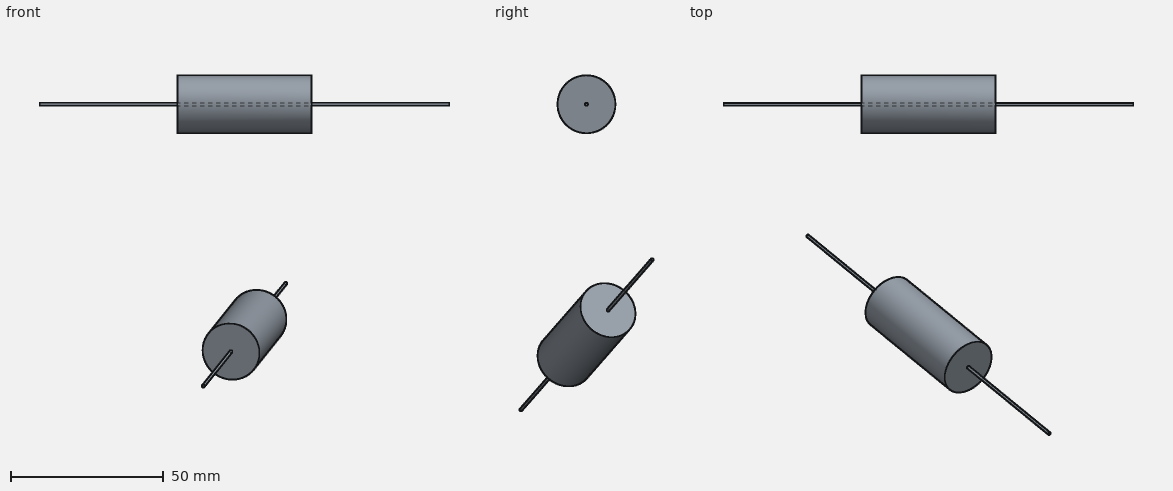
import cadquery as cq

lead_length = 134.0
lead_diameter = 1.0
case_length = 44.0
case_diameter = 19.0


def cylinder_along_x(length, diameter):
    """Solid cylinder on the X axis, centred on the origin."""
    end_plane = cq.Workplane("YZ", origin=(-length / 2, 0, 0))
    return end_plane.circle(diameter / 2).extrude(length)


def make_lead():
    """One straight wire that runs through the case and out of both ends."""
    return cylinder_along_x(lead_length, lead_diameter)


def make_case():
    """Round case with an axial bore that fits the lead exactly."""
    bore = cylinder_along_x(case_length, lead_diameter)
    return cylinder_along_x(case_length, case_diameter).cut(bore)


case = make_case()
lead = make_lead()

result = cq.Compound.makeCompound([case.val(), lead.val()])